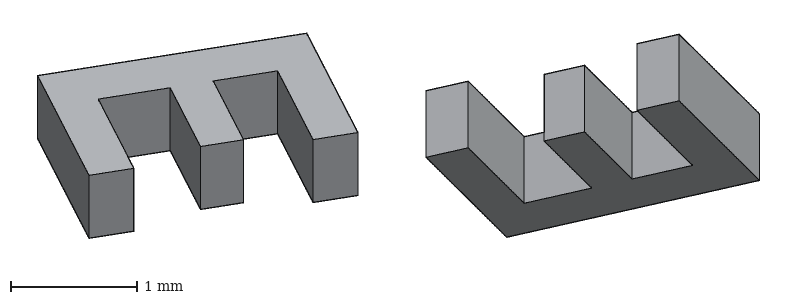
import cadquery as cq

height = 2.22
thickness = 0.6
spine_width = 0.457

bottom_arm_reach = 1.49
middle_arm_reach = 1.335
top_arm_reach = 1.483

outer_arm_width = 0.37
middle_arm_width = 0.355
middle_arm_start = 0.963


def bar(reach, start, width):
    """Full-thickness bar from the back of the spine (X = 0), rising in Y from start."""
    return cq.Workplane("XY").box(reach, width, thickness, centered=False).translate((0, start, 0))


spine = bar(spine_width, 0, height)
bottom_arm = bar(bottom_arm_reach, 0, outer_arm_width)
middle_arm = bar(middle_arm_reach, middle_arm_start, middle_arm_width)
top_arm = bar(top_arm_reach, height - outer_arm_width, outer_arm_width)

result = spine.union(bottom_arm).union(middle_arm).union(top_arm)